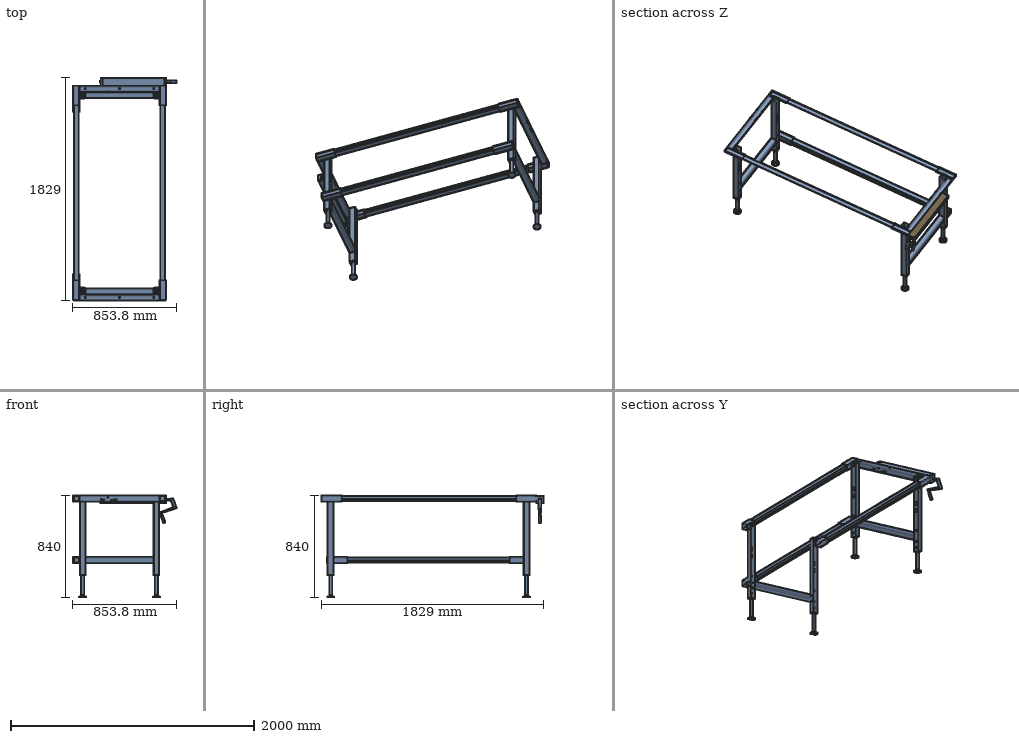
import cadquery as cq
import math


total_depth = 1829
frame_width = 765.0
frame_top = 840.0
socket_size = 55.0
rail_size = 44.0
leg_size_x = 50.0
leg_size_y = 53.0
leg_wall = 5.0
beam_size_y = 51.0
beam_size_z = 55.0
tube_wall = 4.0

socket_round = 7.0
rail_round = 4.0
leg_round = 5.0
beam_round = 10.0
beam_lower_round = 4.0

top_socket_length = 163.0
low_socket_length = 165.0
cap_thickness = 5.0
cap_inset = 5.0
low_socket_top = 335.0
groove_width = 5.0
groove_depth = 2.0
groove_above_rail_base = 13.0

leg_base = 181.0
leg_plug = 5.0
plug_hole = 11.0
leg_window = 30.0
leg_window_heights = (550.0, 613.0)
leg_bolt_hole = 11.0
leg_bolt_heights = (221.0, 276.0, 373.0, 815.0)

foot_radius = 30.2
foot_rim = 5.0
foot_cone_top = 11.0
foot_cone_radius = 16.0
foot_neck_radius = 10.0
stem_base = 22.0
stem_radius = 13.7
foot_inward_shift = 2.0

beam_top_hole = 11.0
beam_top_hole_spacing = 282.0
beam_side_hole = 10.0
beam_side_holes = ((235.0, 803.0), (250.0, 803.0), (287.0, 821.0), (316.0, 797.0), (340.0, 803.0), (357.0, 803.0))

box_left = 227.0
box_size = 62.0
box_drop = 5.0
box_cap_length = 16.0
box_seam = 2.0
screw_diameter = 15.0
screw_head = 5.0
screw_offset = 16.0

crank_tilt = 20
shaft_diameter = 16.0
shaft_reach = 50.0
tube_diameter = 25.0
tube_length = 70.0
arm_reach = 125.0
arm_thick = 18.0
arm_thin = 11.0
arm_tip_width = 16.0
pin_diameter = 15.0
pin_length = 22.0
grip_diameter = 20.0
grip_length = 65.0
grip_round = 5.0

frame_depth = total_depth - box_size
leg_left = socket_size
leg_right = frame_width - socket_size - leg_size_x
leg_front = beam_size_y
leg_back = frame_depth - beam_size_y - leg_size_y
low_socket_base = low_socket_top - socket_size
top_socket_base = frame_top - socket_size
middle_x = frame_width / 2


def block(x0, x1, y0, y1, z0, z1):
    """Box between two opposite corners."""
    return cq.Workplane("XY").box(x1 - x0, y1 - y0, z1 - z0, centered=False).translate((x0, y0, z0))


def side_rail(x0, z0, y0, y1, socket_length):
    """Hollow rail along Y with a larger socket at each end and a cap on the front end.

    A shallow groove runs low along both sides of the rail.
    """
    inset = (socket_size - rail_size) / 2
    rail_x = x0 + inset
    rail_z = z0 + inset
    rail_end = rail_x + rail_size
    socket_front = y0 + cap_thickness
    rail = block(rail_x, rail_end, y0, y1, rail_z, rail_z + rail_size).edges("|Y").fillet(rail_round)
    groove_z = rail_z + groove_above_rail_base
    for wall_x in (rail_x, rail_end):
        rail = rail.cut(
            block(
                wall_x - groove_depth, wall_x + groove_depth,
                y0, y1,
                groove_z, groove_z + groove_width,
            )
        )
    for start in (socket_front, y1 - socket_length):
        socket = block(x0, x0 + socket_size, start, start + socket_length, z0, z0 + socket_size)
        rail = rail.union(socket.edges("|Y").fillet(socket_round))
    cap = block(
        x0 + cap_inset, x0 + socket_size - cap_inset,
        y0, socket_front,
        z0 + cap_inset, z0 + socket_size - cap_inset,
    )
    rail = rail.union(cap)
    bore = block(
        rail_x + tube_wall, rail_end - tube_wall,
        socket_front, y1 - cap_thickness,
        rail_z + tube_wall, rail_z + rail_size - tube_wall,
    )
    return rail.cut(bore)


def leg(x0, y0, inner_side):
    """Open-topped square tube, plugged at the base, with holes in the wall facing the table middle."""
    x1 = x0 + leg_size_x
    y1 = y0 + leg_size_y
    axis_x = x0 + leg_size_x / 2
    axis_y = y0 + leg_size_y / 2
    tube = block(x0, x1, y0, y1, leg_base, frame_top).edges("|Z").fillet(leg_round)
    bore = block(
        x0 + leg_wall, x1 - leg_wall,
        y0 + leg_wall, y1 - leg_wall,
        leg_base + leg_plug, frame_top,
    )
    tube = tube.cut(bore)
    drain = cq.Workplane("XY", (axis_x, axis_y, leg_base)).circle(plug_hole / 2)
    tube = tube.cut(drain.extrude(2 * leg_plug))
    holes = [(z, leg_window) for z in leg_window_heights]
    holes += [(z, leg_bolt_hole) for z in leg_bolt_heights]
    for z, diameter in holes:
        drill_plane = cq.Plane((axis_x, axis_y, z), xDir=(1, 0, 0), normal=(0, inner_side, 0))
        tube = tube.cut(cq.Workplane(drill_plane).circle(diameter / 2).extrude(leg_size_y))
    return tube


def foot(x, y):
    """Round levelling foot: disc, cone, neck and stem up to the leg."""
    outline = [
        (0, 0),
        (foot_radius, 0),
        (foot_radius, foot_rim),
        (foot_cone_radius, foot_cone_top),
        (foot_neck_radius, foot_cone_top),
        (foot_neck_radius, stem_base),
        (stem_radius, stem_base),
        (stem_radius, leg_base),
        (0, leg_base),
    ]
    turned = cq.Workplane("XZ").polyline(outline).close().revolve(360, (0, 0, 0), (0, 1, 0))
    return turned.translate((x, y, 0))


def cross_tube(x0, x1, y0, z0):
    """Square-edged block along X and the bore that makes it a tube."""
    y1 = y0 + beam_size_y
    z1 = z0 + beam_size_z
    tube = block(x0, x1, y0, y1, z0, z1)
    bore = block(x0, x1, y0 + tube_wall, y1 - tube_wall, z0 + tube_wall, z1 - tube_wall)
    return tube, bore


def top_beam(y0):
    """Top cross beam with three holes in its top and a group of holes through its sides."""
    x0 = socket_size
    x1 = frame_width - socket_size
    beam, bore = cross_tube(x0, x1, y0, top_socket_base)
    beam = beam.edges("|X and >Z").fillet(beam_round)
    beam = beam.edges("|X and <Z").fillet(beam_lower_round)
    beam = beam.cut(bore.edges("|X").fillet(beam_round - tube_wall))
    axis_y = y0 + beam_size_y / 2
    for step in (-1, 0, 1):
        x = middle_x + step * beam_top_hole_spacing
        hole = cq.Workplane("XY", (x, axis_y, frame_top)).circle(beam_top_hole / 2)
        beam = beam.cut(hole.extrude(-beam_size_z / 2))
    for x, z in beam_side_holes:
        hole = cq.Workplane("XZ", (x, y0, z)).circle(beam_side_hole / 2)
        beam = beam.cut(hole.extrude(-beam_size_y))
    return beam


def low_crossbar(y0):
    """Lower cross tube of one end, let into the rounded corners of its two legs."""
    x0 = leg_left + leg_size_x - leg_round
    x1 = leg_right + leg_round
    bar, bore = cross_tube(x0, x1, y0, low_socket_base)
    bar = bar.edges("|X").fillet(beam_round)
    return bar.cut(bore.edges("|X").fillet(beam_round - tube_wall))


def gearbox():
    """Square housing behind the back beam, with seamed end caps and screws on its left end."""
    y0 = frame_depth
    y1 = y0 + box_size
    z1 = frame_top - box_drop
    z0 = z1 - box_size
    housing = block(box_left, frame_width, y0, y1, z0, z1)
    for seam_x in (box_left + box_cap_length, frame_width - box_cap_length):
        ring = block(seam_x, seam_x + box_seam, y0, y1, z0, z1)
        core = block(
            seam_x, seam_x + box_seam,
            y0, y1 - box_seam,
            z0 + box_seam, z1 - box_seam,
        )
        housing = housing.cut(ring.cut(core))
    axis_y = (y0 + y1) / 2
    axis_z = (z0 + z1) / 2
    for side in (-1, 1):
        screw = cq.Workplane("YZ", (box_left, axis_y, axis_z + side * screw_offset))
        housing = housing.union(screw.circle(screw_diameter / 2).extrude(-screw_head))
    return housing


def crank():
    """Crank hanging from the gearbox shaft: tilted tube, tapered arm and grip."""
    axis_y = frame_depth + box_size / 2
    axis_z = frame_top - box_drop - box_size / 2
    tilt = math.radians(crank_tilt)
    shaft = cq.Workplane("YZ", (frame_width, axis_y, axis_z))
    shaft = shaft.circle(shaft_diameter / 2).extrude(shaft_reach)
    tilted = cq.Plane(
        (frame_width + shaft_reach, axis_y, axis_z),
        xDir=(-math.cos(tilt), 0, -math.sin(tilt)),
        normal=(math.sin(tilt), 0, -math.cos(tilt)),
    )
    tube_radius = tube_diameter / 2
    tip_radius = arm_tip_width / 2
    arm_top = tube_length - arm_thick / 2
    arm_bottom = tube_length + arm_thick / 2
    knuckle = cq.Workplane(tilted).sphere(tube_radius)
    tube = cq.Workplane(tilted).circle(tube_radius).extrude(arm_bottom)
    plan = (
        cq.Workplane(tilted)
        .moveTo(0, -tube_radius)
        .lineTo(arm_reach, -tip_radius)
        .threePointArc((arm_reach + tip_radius, 0), (arm_reach, tip_radius))
        .lineTo(0, tube_radius)
        .close()
        .extrude(arm_bottom)
    )
    tip = arm_reach + tip_radius
    profile_plane = cq.Plane(tilted.origin, xDir=tilted.xDir, normal=-tilted.yDir)
    profile = (
        cq.Workplane(profile_plane)
        .polyline([
            (0, arm_top),
            (tip, tube_length - arm_thin / 2),
            (tip, tube_length + arm_thin / 2),
            (0, arm_bottom),
        ])
        .close()
        .extrude(tube_radius, both=True)
    )
    arm = plan.intersect(profile)
    grip_top = tube_length + pin_length
    pin = cq.Workplane(tilted).workplane(offset=tube_length).center(arm_reach, 0)
    pin = pin.circle(pin_diameter / 2).extrude(pin_length)
    grip = cq.Workplane(tilted).workplane(offset=grip_top).center(arm_reach, 0)
    grip = grip.circle(grip_diameter / 2).extrude(grip_length).edges().fillet(grip_round)
    return shaft.union(knuckle).union(tube).union(arm).union(pin).union(grip)


result = side_rail(0, top_socket_base, 0, frame_depth, top_socket_length)
result = result.union(
    side_rail(frame_width - socket_size, top_socket_base, 0, frame_depth, top_socket_length)
)
result = result.union(
    side_rail(0, low_socket_base, leg_front - cap_thickness, leg_back + leg_size_y, low_socket_length)
)
for leg_y, inner_side in ((leg_front, 1), (leg_back, -1)):
    for leg_x in (leg_left, leg_right):
        result = result.union(leg(leg_x, leg_y, inner_side))
        foot_x = leg_x + leg_size_x / 2
        foot_y = leg_y + leg_size_y / 2 + inner_side * foot_inward_shift
        result = result.union(foot(foot_x, foot_y))
    result = result.union(low_crossbar(leg_y))
for beam_y in (0, frame_depth - beam_size_y):
    result = result.union(top_beam(beam_y))
result = result.union(gearbox()).union(crank())